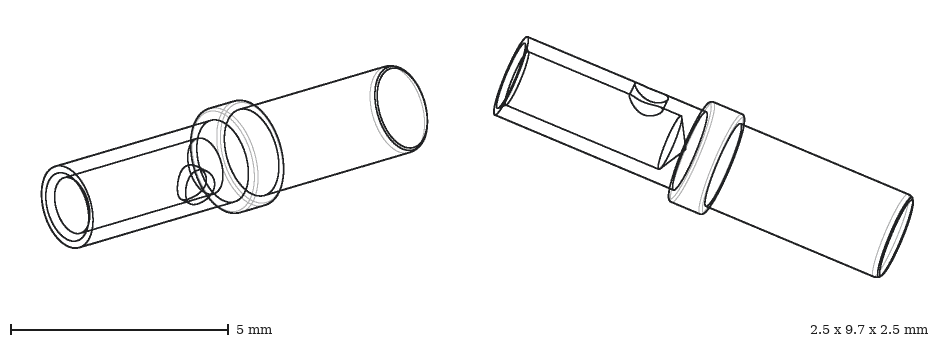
import cadquery as cq
import math

TOTAL_LENGTH = 9.7
SOCKET_LENGTH = 4.5
FLANGE_WIDTH = 0.84
SOCKET_END_Y = -TOTAL_LENGTH / 2
PIN_END_Y = TOTAL_LENGTH / 2
FLANGE_FRONT_Y = SOCKET_END_Y + SOCKET_LENGTH
FLANGE_BACK_Y = FLANGE_FRONT_Y + FLANGE_WIDTH

SOCKET_RADIUS = 1.95 / 2
FLANGE_RADIUS = 2.5 / 2
PIN_RADIUS = 2.06 / 2
FLANGE_EDGE_RADIUS = 0.06
PIN_ROUNDING_LENGTH = 0.12
PIN_ROUNDING_DEPTH = 0.035
PIN_CHAMFER_LENGTH = 0.03
PIN_CHAMFER_DEPTH = 0.05

BORE_RADIUS = 1.33 / 2
BORE_DEPTH = 4.0
MOUTH_RADIUS = 1.62 / 2
MOUTH_ANGLE = 90
DRILL_POINT_ANGLE = 118

INSPECTION_HOLE_DIAMETER = 0.84
INSPECTION_HOLE_SETBACK = 3.1


def cone_height(radius_change, included_angle):
    return radius_change / math.tan(math.radians(included_angle / 2))


def cylinder(radius, start_y, end_y):
    """Solid cylinder on the Y axis between two Y positions."""
    plane = cq.Workplane("XZ", origin=(0, end_y, 0))
    return plane.circle(radius).extrude(end_y - start_y)


def make_pin():
    """Round pin whose side curves gently inward to a steep chamfer and a flat end."""
    rounding_end_y = PIN_END_Y - PIN_CHAMFER_LENGTH
    rounding_start_y = rounding_end_y - PIN_ROUNDING_LENGTH
    rounding_end_radius = PIN_RADIUS - PIN_ROUNDING_DEPTH
    end_face_radius = rounding_end_radius - PIN_CHAMFER_DEPTH
    half_section = (
        cq.Workplane("XY")
        .moveTo(0, FLANGE_BACK_Y)
        .lineTo(PIN_RADIUS, FLANGE_BACK_Y)
        .lineTo(PIN_RADIUS, rounding_start_y)
        .tangentArcPoint((rounding_end_radius, rounding_end_y), relative=False)
        .lineTo(end_face_radius, PIN_END_Y)
        .lineTo(0, PIN_END_Y)
        .close()
    )
    return half_section.revolve(360, (0, 0, 0), (0, 1, 0))


def make_body():
    socket = cylinder(SOCKET_RADIUS, SOCKET_END_Y, FLANGE_FRONT_Y)
    flange = cylinder(FLANGE_RADIUS, FLANGE_FRONT_Y, FLANGE_BACK_Y)
    flange = flange.edges("%CIRCLE").fillet(FLANGE_EDGE_RADIUS)
    return socket.union(flange).union(make_pin())


def make_bore():
    """Revolved cutter: countersunk mouth, straight bore and conical bottom."""
    mouth_bottom_y = SOCKET_END_Y + cone_height(MOUTH_RADIUS - BORE_RADIUS, MOUTH_ANGLE)
    bore_bottom_y = SOCKET_END_Y + BORE_DEPTH
    tip_y = bore_bottom_y + cone_height(BORE_RADIUS, DRILL_POINT_ANGLE)
    half_section = (
        cq.Workplane("XY")
        .moveTo(0, SOCKET_END_Y)
        .lineTo(MOUTH_RADIUS, SOCKET_END_Y)
        .lineTo(BORE_RADIUS, mouth_bottom_y)
        .lineTo(BORE_RADIUS, bore_bottom_y)
        .lineTo(0, tip_y)
        .close()
    )
    return half_section.revolve(360, (0, 0, 0), (0, 1, 0))


def make_inspection_hole():
    """Radial cutter running from the axis out through the +X wall."""
    hole_y = SOCKET_END_Y + INSPECTION_HOLE_SETBACK
    plane = cq.Workplane("YZ", origin=(0, hole_y, 0))
    return plane.circle(INSPECTION_HOLE_DIAMETER / 2).extrude(FLANGE_RADIUS)


result = make_body().cut(make_bore()).cut(make_inspection_hole())